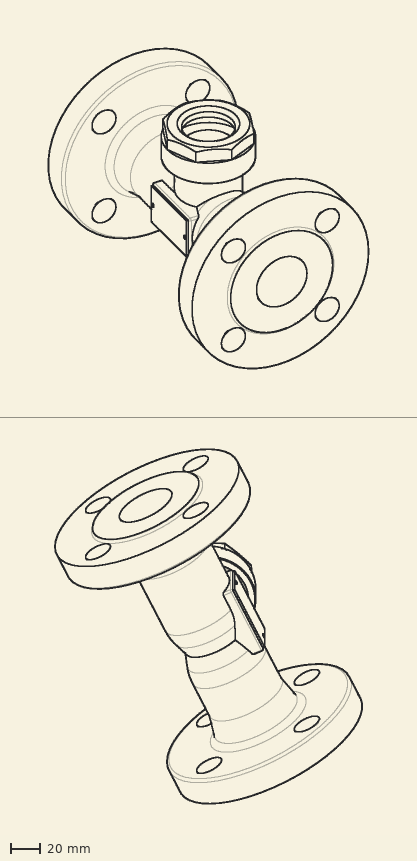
import cadquery as cq
import math

half_length = 102.0
flange_diameter = 140.0
flange_thickness = 20.0
flange_edge_radius = 2.0
raised_face_diameter = 81.0
raised_face_height = 2.0
raised_face_base_radius = 1.8
bolt_circle_diameter = 105.0
bolt_hole_diameter = 19.0
bolt_hole_count = 4

barrel_diameter = 56.0
hub_diameter = 63.0
hub_length = 16.0
hub_fillet_radius = 5.0
flange_back = half_length - raised_face_height - flange_thickness
hub_start = 75.7 - hub_length

port_diameter = 40.0
port_depth = 60.0

waist_x = 10.0
waist_half_length = 22.4
waist_blend_radius = 38.0
waist_slope = math.radians(18.0)

neck_diameter = 47.0
neck_head_diameter = 55.0
neck_head_bottom = 42.8
neck_top = 53.0
neck_fillet_radius = 3.0
chamber_diameter = 37.0
chamber_floor = 24.0

seat_recess_diameter = 25.0
seat_floor_diameter = 23.0
seat_depth = 1.0
dome_diameter = 19.8

nut_diameter = 65.0
nut_top = 71.0
nut_bottom = neck_head_bottom
nut_collar_top = 60.3
nut_edge_chamfer = 0.6
octagon_sides = 8
octagon_chamfer_diameter = 57.0
octagon_chamfer_angle = math.radians(30.0)
window_diameter = 37.0
window_mouth_diameter = 43.0
window_chamfer_depth = 2.8
nut_lip_thickness = 7.3

pad_width = 51.6
pad_height = 33.0
pad_face_y = -29.9
pad_edge_radius = 1.45
plate_thickness = 1.4
plate_face_y = pad_face_y - plate_thickness
rivet_head_diameter = 3.0
rivet_head_height = 0.6
rivet_spacing = 44.8


def upright_cylinder(diameter, bottom, top):
    """Cylinder on the Z axis between two heights."""
    return cq.Workplane("XY").workplane(offset=bottom).circle(diameter / 2).extrude(top - bottom)


def make_barrel():
    """Barrel turned about X, pinched to a waist by two blended cones."""
    barrel_radius = barrel_diameter / 2
    blend_length = waist_blend_radius * math.sin(waist_slope)
    blend_drop = waist_blend_radius * (1 - math.cos(waist_slope))
    half_blend_length = waist_blend_radius * math.sin(waist_slope / 2)
    half_blend_drop = waist_blend_radius * (1 - math.cos(waist_slope / 2))
    cone_drop = (waist_half_length - blend_length) * math.tan(waist_slope)

    left = waist_x - waist_half_length
    right = waist_x + waist_half_length
    blend_end_radius = barrel_radius - blend_drop
    outline = (
        cq.Workplane("XY")
        .moveTo(-flange_back, 0)
        .lineTo(-flange_back, barrel_radius)
        .lineTo(left, barrel_radius)
        .threePointArc(
            (left + half_blend_length, barrel_radius - half_blend_drop),
            (left + blend_length, blend_end_radius),
        )
        .lineTo(waist_x, blend_end_radius - cone_drop)
        .lineTo(right - blend_length, blend_end_radius)
        .threePointArc(
            (right - half_blend_length, barrel_radius - half_blend_drop),
            (right, barrel_radius),
        )
        .lineTo(flange_back, barrel_radius)
        .lineTo(flange_back, 0)
        .close()
    )
    return outline.revolve(360, (0, 0, 0), (1, 0, 0))


def make_flange_end():
    """Flange with raised face and tapered hub at the -X end, with bolt holes."""
    flange_front = half_length - raised_face_height
    base_offset = raised_face_base_radius * (1 - math.sqrt(0.5))
    hub_end = hub_start + hub_length
    taper = math.atan2((hub_diameter - barrel_diameter) / 2, hub_length)
    hub_base_radius = hub_diameter / 2 + (flange_back - hub_end) * math.tan(taper)
    flange_end = (
        cq.Workplane("XY")
        .moveTo(-half_length, 0)
        .lineTo(-half_length, raised_face_diameter / 2)
        .lineTo(-flange_front - raised_face_base_radius, raised_face_diameter / 2)
        .threePointArc(
            (-flange_front - base_offset, raised_face_diameter / 2 + base_offset),
            (-flange_front, raised_face_diameter / 2 + raised_face_base_radius),
        )
        .lineTo(-flange_front, flange_diameter / 2)
        .lineTo(-flange_back, flange_diameter / 2)
        .lineTo(-flange_back, hub_base_radius)
        .lineTo(-hub_start, barrel_diameter / 2)
        .lineTo(-hub_start, 0)
        .close()
        .revolve(360, (0, 0, 0), (1, 0, 0))
    )
    back_edges = flange_end.faces(cq.selectors.NearestToPointSelector((-flange_back, 0, 52.0)))
    flange_end = back_edges.edges(cq.selectors.RadiusNthSelector(1)).fillet(flange_edge_radius)
    hub_face = flange_end.faces(cq.selectors.NearestToPointSelector((-flange_back, 0, 52.0)))
    flange_end = hub_face.edges(cq.selectors.RadiusNthSelector(0)).fillet(hub_fillet_radius)
    bolt_holes = (
        cq.Workplane("YZ")
        .workplane(offset=-half_length)
        .polarArray(bolt_circle_diameter / 2, 45, 360, bolt_hole_count)
        .circle(bolt_hole_diameter / 2)
        .extrude(half_length - flange_back)
    )
    return flange_end.cut(bolt_holes)


def make_port():
    """Blind flow bore entering from the -X end."""
    return cq.Workplane("YZ").workplane(offset=-half_length).circle(port_diameter / 2).extrude(port_depth)


def make_neck():
    """Solid neck with a wider head, blended underneath, that fills the nut."""
    neck_radius = neck_diameter / 2
    head_radius = neck_head_diameter / 2
    fillet_offset = neck_fillet_radius * (1 - math.sqrt(0.5))
    return (
        cq.Workplane("XZ")
        .lineTo(neck_radius, 0)
        .lineTo(neck_radius, neck_head_bottom - neck_fillet_radius)
        .threePointArc(
            (neck_radius + fillet_offset, neck_head_bottom - fillet_offset),
            (neck_radius + neck_fillet_radius, neck_head_bottom),
        )
        .lineTo(head_radius, neck_head_bottom)
        .lineTo(head_radius, neck_top)
        .lineTo(0, neck_top)
        .close()
        .revolve(360, (0, 0, 0), (0, 1, 0))
    )


def make_chamber():
    """Chamber in the neck, with a bevelled seat recess around a dome."""
    recess_floor = chamber_floor - seat_depth
    chamber = upright_cylinder(chamber_diameter, chamber_floor, neck_top)
    recess = (
        cq.Workplane("XZ")
        .moveTo(0, recess_floor)
        .lineTo(seat_floor_diameter / 2, recess_floor)
        .lineTo(seat_recess_diameter / 2, chamber_floor)
        .lineTo(0, chamber_floor)
        .close()
        .revolve(360, (0, 0, 0), (0, 1, 0))
    )
    dome = cq.Workplane("XY").sphere(dome_diameter / 2).translate((0, 0, recess_floor))
    return chamber.union(recess).cut(dome)


def make_plate_pad():
    """Pad with rounded edges, carrying a raised plate with a domed rivet head at each end."""
    pad = (
        cq.Workplane("XZ")
        .rect(pad_width, pad_height)
        .extrude(-pad_face_y)
        .edges("|Y")
        .fillet(pad_edge_radius)
        .faces("<Y")
        .edges()
        .fillet(pad_edge_radius)
    )
    plate = (
        cq.Workplane("XZ")
        .rect(pad_width - 2 * pad_edge_radius, pad_height - 2 * pad_edge_radius)
        .extrude(-plate_face_y)
    )
    pad = pad.union(plate)
    head_radius = rivet_head_diameter / 2
    dome_radius = (head_radius**2 + rivet_head_height**2) / (2 * rivet_head_height)
    dome_center_y = plate_face_y - rivet_head_height + dome_radius
    head_limit = cq.Workplane("XZ").circle(head_radius).extrude(-plate_face_y + rivet_head_height)
    dome = cq.Workplane("XY").sphere(dome_radius).translate((0, dome_center_y, 0))
    rivet = dome.intersect(head_limit)
    for side in (-1, 1):
        pad = pad.union(rivet.translate((side * rivet_spacing / 2, 0, 0)))
    return pad


def make_housing():
    """Flanged body with name plate pad, neck, two blind ports and the neck chamber."""
    body = make_barrel()
    flange_end = make_flange_end()
    body = body.union(flange_end).union(flange_end.mirror("YZ"))
    body = body.union(make_plate_pad()).union(make_neck())
    port = make_port()
    return body.cut(port).cut(port.mirror("YZ")).cut(make_chamber())


def make_nut():
    """Round collar with an octagonal top, a chamfered window and a bore for the neck head."""
    collar = upright_cylinder(nut_diameter, nut_bottom, nut_collar_top)
    collar = collar.faces("<Z").edges().chamfer(nut_edge_chamfer)
    octagon = (
        cq.Workplane("XY")
        .workplane(offset=nut_collar_top)
        .polygon(octagon_sides, nut_diameter)
        .extrude(nut_top - nut_collar_top)
    )
    corner_drop = (nut_diameter - octagon_chamfer_diameter) / 2 * math.tan(octagon_chamfer_angle)
    crown = (
        cq.Workplane("XZ")
        .moveTo(0, nut_collar_top)
        .lineTo(nut_diameter / 2, nut_collar_top)
        .lineTo(nut_diameter / 2, nut_top - corner_drop)
        .lineTo(octagon_chamfer_diameter / 2, nut_top)
        .lineTo(0, nut_top)
        .close()
        .revolve(360, (0, 0, 0), (0, 1, 0))
    )
    nut = collar.union(octagon.intersect(crown))

    window = (
        cq.Workplane("XZ")
        .moveTo(0, nut_top)
        .lineTo(window_mouth_diameter / 2, nut_top)
        .lineTo(window_diameter / 2, nut_top - window_chamfer_depth)
        .lineTo(window_diameter / 2, nut_top - nut_lip_thickness)
        .lineTo(0, nut_top - nut_lip_thickness)
        .close()
        .revolve(360, (0, 0, 0), (0, 1, 0))
    )
    bore = upright_cylinder(neck_head_diameter, nut_bottom, nut_top - nut_lip_thickness)
    return nut.cut(window).cut(bore)


housing = make_housing()
nut = make_nut()

result = cq.Compound.makeCompound([housing.val(), nut.val()])